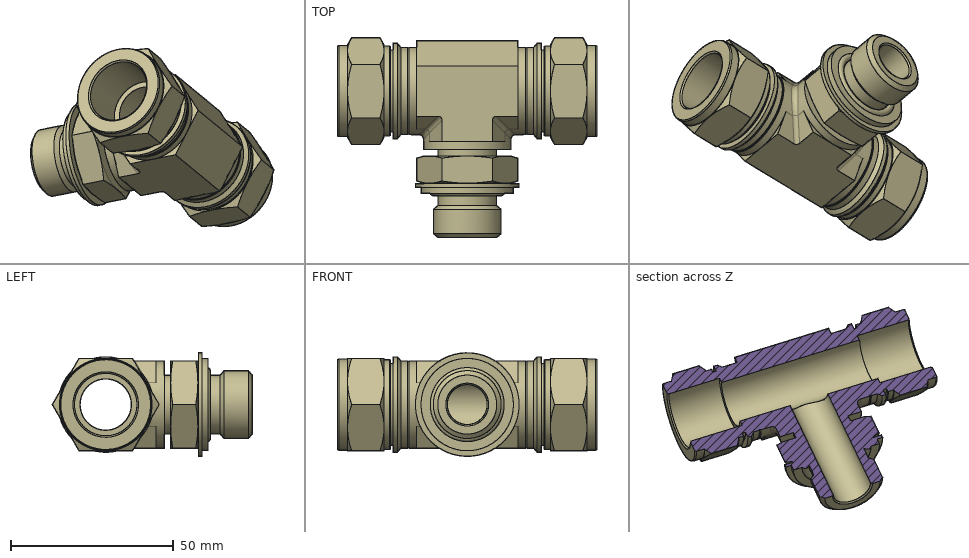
import cadquery as cq
import math

overall_run_length = 80.14
branch_length = 45.2

body_flats = 27.0
body_fillet = 1.4
branch_hex_end = 15.5
body_branch_end = 18.1

groove_start = 18.0
groove_width = 0.45
groove_diameter = 26.6
flange_taper_start = 20.45
flange_taper_end = 21.55
flange_end = 22.85
flange_diameter = 29.5
gap_diameter = 25.4

nut_flats = 28.575
nut_collar_start = 23.75
nut_hex_start = 25.65
nut_hex_end = 36.95
nut_collar_diameter = 27.8
nut_end_diameter = 28.2
nut_edge_chamfer_length = 0.5
nut_edge_chamfer_depth = 0.25
nut_collar_chamfer = 0.2
nut_chamfer_angle = 30.0

run_bore_diameter = 15.75
tube_socket_diameter = 19.25
tube_mouth_diameter = 20.2

neck_diameter = 18.2
lock_nut_start = 20.05
lock_nut_end = 28.4
lock_nut_face_diameter = 26.9
washer_start = 28.55
lock_nut_chamfer_angle = 17.0
washer_end = 29.7
washer_diameter = 32.0
ring_end = 31.6
ring_diameter = 28.5
o_ring_outer_diameter = 23.0
o_ring_end = 32.35
thread_taper_start = 35.3
thread_start = 36.5
thread_diameter = 20.955
thread_chamfer_length = 1.2
thread_end_diameter = 18.2
branch_bore_diameter = 12.3
branch_mouth_diameter = 13.2

body_radius = body_flats / 2
body_corner_radius = body_flats / math.sqrt(3)
body_half_length = body_corner_radius
run_half_length = overall_run_length / 2
match_tolerance = 1e-4

RUN_PLANE = cq.Plane(origin=(0, 0, 0), xDir=(0, 1, 0), normal=(1, 0, 0))
BRANCH_PLANE = cq.Plane(origin=(0, 0, 0), xDir=(1, 0, 0), normal=(0, -1, 0))


def disc(plane, start, end, diameter):
    """Cylinder between two stations along the plane normal."""
    return cq.Workplane(plane).workplane(offset=start).circle(diameter / 2).extrude(end - start)


def cone(plane, start, end, start_diameter, end_diameter):
    """Truncated cone between two stations along the plane normal."""
    base = cq.Workplane(plane).workplane(offset=start).circle(start_diameter / 2)
    return base.workplane(offset=end - start).circle(end_diameter / 2).loft(ruled=True)


def hexagon(plane, start, end, flats):
    """Hexagonal bar with corners on the plane's local X axis."""
    corners = 2 * flats / math.sqrt(3)
    return cq.Workplane(plane).workplane(offset=start).polygon(6, corners).extrude(end - start)


def chamfered_hexagon(plane, start, end, flats, chamfer_angle):
    """Hexagonal bar whose corners are turned down conically at both ends."""
    corners = 2 * flats / math.sqrt(3)
    depth = (corners - flats) / 2 * math.tan(math.radians(chamfer_angle))
    envelope = (
        cone(plane, start, start + depth, flats, corners)
        .union(disc(plane, start + depth, end - depth, corners))
        .union(cone(plane, end - depth, end, corners, flats))
    )
    return hexagon(plane, start, end, flats).intersect(envelope)


def make_body():
    """Hexagonal tee: sharp at the back, rounded on the corners beside and facing the branch."""
    tangent_along = body_radius * math.cos(math.radians(30))
    tangent_across = body_radius / 2
    half_side = body_corner_radius / 2
    run = (
        cq.Workplane(RUN_PLANE)
        .workplane(offset=-body_half_length)
        .moveTo(body_corner_radius, 0)
        .lineTo(half_side, body_radius)
        .lineTo(-half_side, body_radius)
        .lineTo(-tangent_along, tangent_across)
        .threePointArc((-body_radius, 0), (-tangent_along, -tangent_across))
        .lineTo(-half_side, -body_radius)
        .lineTo(half_side, -body_radius)
        .close()
        .extrude(2 * body_half_length)
    )
    branch = (
        cq.Workplane(BRANCH_PLANE)
        .moveTo(half_side, body_radius)
        .lineTo(-half_side, body_radius)
        .lineTo(-tangent_along, tangent_across)
        .threePointArc((-body_radius, 0), (-tangent_along, -tangent_across))
        .lineTo(-half_side, -body_radius)
        .lineTo(half_side, -body_radius)
        .lineTo(tangent_along, -tangent_across)
        .threePointArc((body_radius, 0), (tangent_along, tangent_across))
        .close()
        .extrude(branch_hex_end)
    )
    tee = run.union(branch)
    corner_box = body_radius + body_fillet
    inside_corners = cq.selectors.BoxSelector(
        (-corner_box, -corner_box, -body_radius + body_fillet),
        (corner_box, -half_side, body_radius - body_fillet),
    )
    mitre_edges = [
        edge for edge in tee.edges(inside_corners).vals()
        if all(abs(abs(v.X) + v.Y) < match_tolerance for v in edge.Vertices())
    ]
    tee = tee.newObject(mitre_edges).fillet(body_fillet)
    return tee.union(disc(BRANCH_PLANE, 0, body_branch_end, body_flats))


def make_run_end():
    """Everything on the +X side of the body, nut included, before boring."""
    groove_end = groove_start + groove_width
    end_face_diameter = nut_end_diameter - 2 * nut_edge_chamfer_depth
    collar = disc(RUN_PLANE, nut_collar_start, nut_hex_start, nut_collar_diameter)
    collar = collar.faces("<X").chamfer(nut_collar_chamfer)
    end_collar_stop = run_half_length - nut_edge_chamfer_length
    return (
        disc(RUN_PLANE, 0, groove_start, body_flats)
        .union(disc(RUN_PLANE, groove_start, groove_end, groove_diameter))
        .union(disc(RUN_PLANE, groove_end, flange_taper_start, body_flats))
        .union(cone(RUN_PLANE, flange_taper_start, flange_taper_end, body_flats, flange_diameter))
        .union(disc(RUN_PLANE, flange_taper_end, flange_end, flange_diameter))
        .union(disc(RUN_PLANE, flange_end, nut_collar_start, gap_diameter))
        .union(collar)
        .union(chamfered_hexagon(RUN_PLANE, nut_hex_start, nut_hex_end, nut_flats, nut_chamfer_angle))
        .union(disc(RUN_PLANE, nut_hex_end, end_collar_stop, nut_end_diameter))
        .union(cone(RUN_PLANE, end_collar_stop, run_half_length, nut_end_diameter, end_face_diameter))
    )


def make_o_ring():
    """O-ring sitting on the neck, partly inside the retaining ring."""
    section_radius = (o_ring_outer_diameter - neck_diameter) / 4
    centre_radius = (o_ring_outer_diameter + neck_diameter) / 4
    centre = cq.Vector(0, -(o_ring_end - section_radius), 0)
    torus = cq.Solid.makeTorus(centre_radius, section_radius, centre, cq.Vector(0, -1, 0))
    return cq.Workplane(obj=torus)


def make_branch_end():
    """Neck, lock nut, washer, rings and thread, before boring."""
    lock_nut = chamfered_hexagon(
        BRANCH_PLANE, lock_nut_start, lock_nut_end, body_flats, lock_nut_chamfer_angle
    )
    chamfer_start = branch_length - thread_chamfer_length
    return (
        disc(BRANCH_PLANE, body_branch_end, thread_taper_start, neck_diameter)
        .union(lock_nut)
        .union(disc(BRANCH_PLANE, lock_nut_end, washer_start, lock_nut_face_diameter))
        .union(disc(BRANCH_PLANE, washer_start, washer_end, washer_diameter))
        .union(disc(BRANCH_PLANE, washer_end, ring_end, ring_diameter))
        .union(make_o_ring())
        .union(cone(BRANCH_PLANE, thread_taper_start, thread_start, neck_diameter, thread_diameter))
        .union(disc(BRANCH_PLANE, thread_start, chamfer_start, thread_diameter))
        .union(cone(BRANCH_PLANE, chamfer_start, branch_length, thread_diameter, thread_end_diameter))
    )


def make_tube_socket():
    """Tube socket of the +X end with its countersunk mouth."""
    mouth_start = run_half_length - (tube_mouth_diameter - tube_socket_diameter) / 2
    mouth = cone(RUN_PLANE, mouth_start, run_half_length, tube_socket_diameter, tube_mouth_diameter)
    return disc(RUN_PLANE, flange_end, run_half_length, tube_socket_diameter).union(mouth)


def make_branch_bore():
    """Branch bore, opening into the run bore, with its countersunk mouth."""
    mouth_start = branch_length - (branch_mouth_diameter - branch_bore_diameter) / 2
    mouth = cone(BRANCH_PLANE, mouth_start, branch_length, branch_bore_diameter, branch_mouth_diameter)
    return disc(BRANCH_PLANE, 0, branch_length, branch_bore_diameter).union(mouth)


run_end = make_run_end()
tube_socket = make_tube_socket()
run_bore = disc(RUN_PLANE, -run_half_length, run_half_length, run_bore_diameter)

result = (
    make_body()
    .union(run_end)
    .union(run_end.mirror("YZ"))
    .union(make_branch_end())
    .cut(run_bore)
    .cut(tube_socket)
    .cut(tube_socket.mirror("YZ"))
    .cut(make_branch_bore())
)